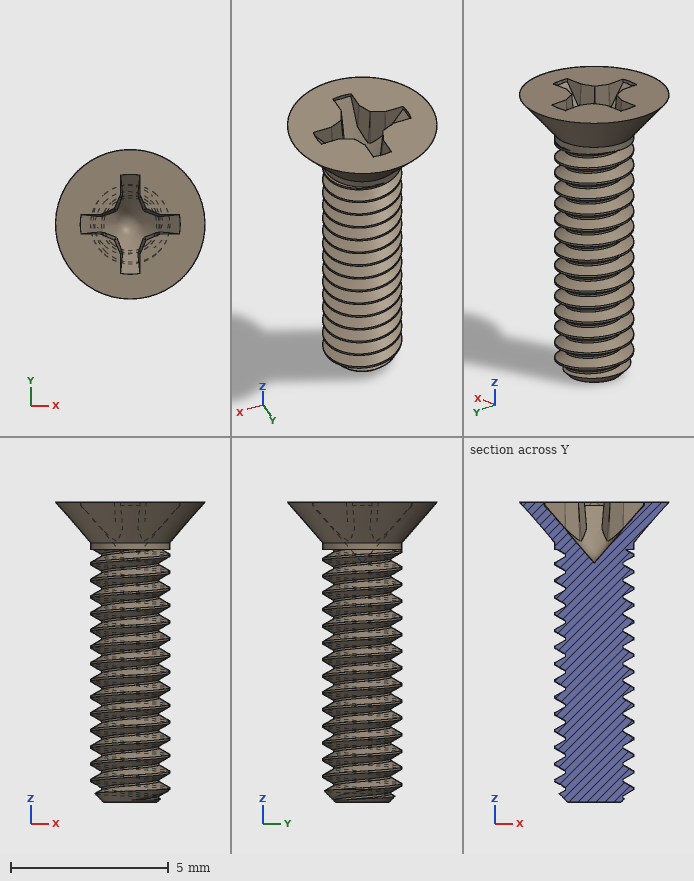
import cadquery as cq
import math

INCH = 25.4

length = 0.375 * INCH
major_diameter = 0.099 * INCH
pitch = INCH / 48
head_diameter = 4.75
head_cone_angle = 82.0
collar_height = 0.22
point_diameter = 1.68

recess_wings = 4
recess_tip_radius = 1.587
recess_wing_half_width = 0.313
recess_wing_root = 0.934
recess_corner = 0.504
recess_wall_taper = 5.0
recess_tip_wall_height = 0.1
recess_floor_angle = 49.0

thread_flat = pitch / 8
flank_slope = math.tan(math.radians(30))
thread_depth = (pitch / 2 - thread_flat) / flank_slope
groove_phase_height = 0.168
groove_lead_in_turns = 2
groove_clearance = 0.02

head_radius = head_diameter / 2
major_radius = major_diameter / 2
minor_radius = major_radius - thread_depth
point_radius = point_diameter / 2
end_z = -length
head_bottom_z = -(head_radius - major_radius) / math.tan(math.radians(head_cone_angle / 2))
thread_top_z = head_bottom_z - collar_height
point_chamfer = major_radius - point_radius
recess_depth = recess_tip_wall_height + recess_tip_radius * math.tan(math.radians(recess_floor_angle))


def revolve_about_z(profile):
    """Solid of revolution from (radius, z) points, with its seam on the -Y side."""
    points = [(-radius, z) for radius, z in profile]
    return cq.Workplane("YZ").polyline(points).close().revolve(360, (0, 0, 0), (0, 1, 0))


def make_blank():
    """Countersunk head and plain shank with a 45 degree point."""
    return revolve_about_z(
        [
            (0, 0),
            (head_radius, 0),
            (major_radius, head_bottom_z),
            (major_radius, end_z + point_chamfer),
            (point_radius, end_z),
            (0, end_z),
        ]
    )


def make_thread_groove():
    """Right-handed helical groove, cut off flat where the plain collar begins."""
    start_z = end_z + groove_phase_height - groove_lead_in_turns * pitch
    turns = math.ceil((thread_top_z - start_z) / pitch) + 1
    helix = cq.Wire.makeHelix(pitch, turns * pitch, major_radius)
    path = cq.Workplane(helix).translate((0, 0, start_z))
    root_half_width = thread_flat / 2
    mouth_half_width = root_half_width + (thread_depth + groove_clearance) * flank_slope
    mouth_radius = major_radius + groove_clearance
    groove = (
        cq.Workplane("XZ")
        .moveTo(minor_radius, start_z + root_half_width)
        .lineTo(mouth_radius, start_z + mouth_half_width)
        .lineTo(mouth_radius, start_z - mouth_half_width)
        .lineTo(minor_radius, start_z - root_half_width)
        .close()
        .sweep(path, isFrenet=True)
    )
    collar_plane = cq.Workplane("XY").workplane(offset=thread_top_z)
    below_collar = collar_plane.circle(head_radius).extrude(-2 * length)
    return groove.intersect(below_collar)


def make_recess():
    """Cross-shaped pocket with tapered walls and a conical floor."""
    wing = [
        (recess_tip_radius, -recess_wing_half_width),
        (recess_tip_radius, recess_wing_half_width),
        (recess_wing_root, recess_wing_half_width),
        (recess_corner, recess_corner),
        (recess_wing_half_width, recess_wing_root),
    ]
    outline = []
    for index in range(recess_wings):
        angle = 2 * math.pi / recess_wings * index
        cosine = math.cos(angle)
        sine = math.sin(angle)
        for x, y in wing:
            outline.append((x * cosine - y * sine, x * sine + y * cosine))
    cross = cq.Workplane("XY").polyline(outline).close().extrude(-recess_depth, taper=recess_wall_taper)
    floor_cone = revolve_about_z(
        [
            (0, 0),
            (recess_tip_radius, 0),
            (recess_tip_radius, -recess_tip_wall_height),
            (0, -recess_depth),
        ]
    )
    return cross.intersect(floor_cone)


blank = make_blank()
threaded = blank.cut(make_thread_groove())
recessed = threaded.cut(make_recess())
result = recessed.solids()